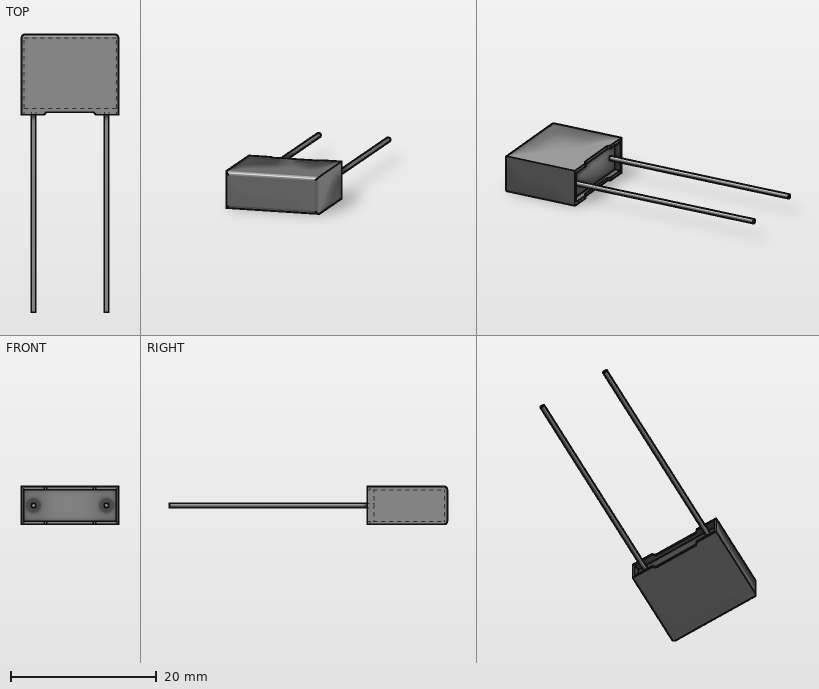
import cadquery as cq

total_length = 38.1

case_width = 13.3
case_depth = 11.0
case_thickness = 5.22
side_wall = 0.35
broad_wall = 0.45
back_wall = broad_wall
back_edge_radius = 0.5

notch_depth = 0.35
notch_floor_width = 6.45
notch_mouth_width = notch_floor_width + 2 * notch_depth

resin_recess = 0.88
cavity_width = case_width - 2 * side_wall
cavity_thickness = case_thickness - 2 * broad_wall
cavity_depth = case_depth - back_wall

lead_diameter = 0.65
lead_spacing = 10.0
lead_tip_y = case_depth - total_length


def block_along_y(width, thickness, start_y, end_y):
    """Box centred on X and Z that spans start_y to end_y."""
    return (
        cq.Workplane("XY")
        .box(width, end_y - start_y, thickness, centered=(True, False, True))
        .translate((0, start_y, 0))
    )


def make_rim_notch():
    """Trapezoidal cutter, wider at the rim, through the full thickness."""
    return (
        cq.Workplane("XY")
        .moveTo(-notch_mouth_width / 2, 0)
        .lineTo(notch_mouth_width / 2, 0)
        .lineTo(notch_floor_width / 2, notch_depth)
        .lineTo(-notch_floor_width / 2, notch_depth)
        .close()
        .extrude(case_thickness / 2, both=True)
    )


def make_case():
    """Open box with rounded back edges and a notched rim."""
    shell = block_along_y(case_width, case_thickness, 0, case_depth)
    shell = shell.faces(">Y").edges().fillet(back_edge_radius)
    cavity = block_along_y(cavity_width, cavity_thickness, 0, cavity_depth)
    return shell.cut(cavity).cut(make_rim_notch())


def make_resin():
    """Filling from the cavity floor to a level set back from the rim."""
    return block_along_y(cavity_width, cavity_thickness, resin_recess, cavity_depth)


def make_lead(x):
    """Round wire that starts on the resin face."""
    return (
        cq.Workplane("XZ", origin=(x, resin_recess, 0))
        .circle(lead_diameter / 2)
        .extrude(resin_recess - lead_tip_y)
    )


case = make_case()
resin = make_resin()
leads = [make_lead(side * lead_spacing / 2) for side in (-1, 1)]

result = cq.Compound.makeCompound([case.val(), resin.val(), *[lead.val() for lead in leads]])